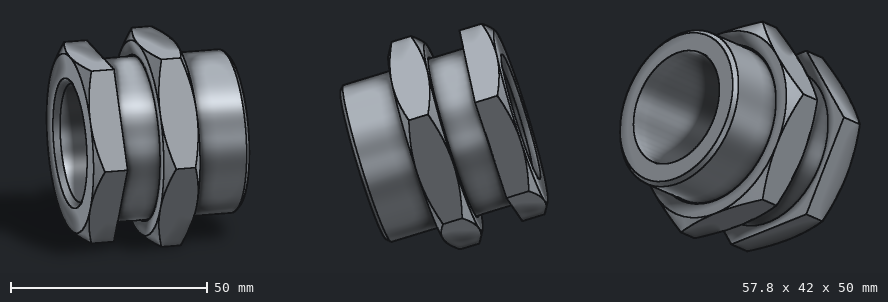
import cadquery as cq
import math

NUT_CORNERS = 57.75
NUT_FLATS = NUT_CORNERS * math.cos(math.radians(30))
NUT_THICKNESS = 9.6
NUT_START = 18.0
NUT_HOLE_CHAMFER = 0.4
HEAD_FLATS = 45.95
HEAD_THICKNESS = 8.0
BODY_LENGTH = 42.0
BARREL_DIAMETER = 41.9
BARREL_CHAMFER = 1.05
BORE_DIAMETER = 30.35
BORE_CHAMFER = 1.5
CORNER_CHAMFER_ANGLE = 30.0
CONE_OVERLAP = 0.6


def cylinder(diameter, start, length):
    """Solid cylinder on the Y axis, from start toward +Y."""
    plane = cq.Workplane("XZ", origin=(0, start, 0))
    return plane.circle(diameter / 2).extrude(-length)


def countersink(hole_diameter, start, width):
    """45 degree cone that chamfers the -Y mouth of a hole."""
    plane = cq.Workplane("XZ", origin=(0, start, 0))
    return plane.circle(hole_diameter / 2 + width).extrude(-width, taper=45)


def hexagon(flats, start, thickness):
    """Hexagonal prism on the Y axis, with corners on the X axis."""
    corners = flats / math.cos(math.radians(30))
    plane = cq.Workplane("XZ", origin=(0, start, 0))
    return plane.polygon(6, corners).extrude(-thickness)


def corner_cone(flats, start, thickness, both_ends):
    """Turned envelope that bevels hexagon corners, leaving a face circle as wide as the flats."""
    face_radius = flats / 2
    outer_radius = flats / math.cos(math.radians(30)) / 2 + CONE_OVERLAP
    drop = (outer_radius - face_radius) * math.tan(math.radians(CORNER_CHAMFER_ANGLE))
    end = start + thickness
    profile = cq.Workplane("XY").moveTo(0, start).lineTo(face_radius, start).lineTo(outer_radius, start + drop)
    if both_ends:
        profile = profile.lineTo(outer_radius, end - drop).lineTo(face_radius, end)
    else:
        profile = profile.lineTo(outer_radius, end)
    return profile.lineTo(0, end).close().revolve(360, (0, 0, 0), (0, 1, 0))


def beveled_hexagon(flats, start, thickness, both_ends):
    envelope = corner_cone(flats, start, thickness, both_ends)
    return hexagon(flats, start, thickness).intersect(envelope)


def make_gland_body():
    """Hex-headed sleeve with a through bore."""
    barrel = cylinder(BARREL_DIAMETER, 0, BODY_LENGTH).faces(">Y").chamfer(BARREL_CHAMFER)
    head = beveled_hexagon(HEAD_FLATS, 0, HEAD_THICKNESS, both_ends=False)
    bore = cylinder(BORE_DIAMETER, 0, BODY_LENGTH)
    sleeve = head.union(barrel).cut(bore)
    mouth = countersink(BORE_DIAMETER, 0, BORE_CHAMFER)
    return sleeve.cut(mouth)


def make_nut():
    """Hexagon nut seated on the barrel."""
    blank = beveled_hexagon(NUT_FLATS, NUT_START, NUT_THICKNESS, both_ends=True)
    nut_blank = blank.cut(cylinder(BARREL_DIAMETER, NUT_START, NUT_THICKNESS))
    front_chamfer = countersink(BARREL_DIAMETER, NUT_START, NUT_HOLE_CHAMFER)
    middle = NUT_START + NUT_THICKNESS / 2
    back_chamfer = front_chamfer.mirror("XZ", (0, middle, 0))
    return nut_blank.cut(front_chamfer).cut(back_chamfer)


gland_body = make_gland_body()
nut = make_nut()
result = cq.Compound.makeCompound([gland_body.val(), nut.val()])